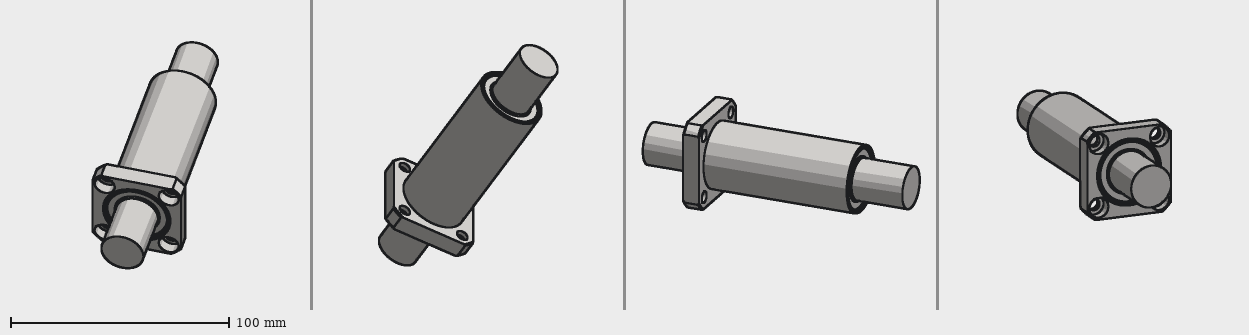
import cadquery as cq
import math

SHAFT_LENGTH = 130.0
SHAFT_DIAMETER = 20.0

SLEEVE_LENGTH = 80.0
SLEEVE_DIAMETER = 32.0
SLEEVE_CHAMFER = 0.3

FLANGE_WIDTH = 42.0
FLANGE_DISC_DIAMETER = 54.0
FLANGE_THICKNESS = 8.0
FLANGE_CHAMFER = 0.5

BOLT_CIRCLE_DIAMETER = 43.0
HOLE_SPACING = BOLT_CIRCLE_DIAMETER / math.sqrt(2)
SCREW_HOLE_DIAMETER = 5.5
COUNTERBORE_DIAMETER = 9.5
COUNTERBORE_DEPTH = 5.5

SEAL_DIAMETER = 28.5
SEAL_SETBACK = 1.0
MOUTH_CHAMFER = 0.5
LIP_DIAMETER = 21.5
LIP_HEIGHT = (LIP_DIAMETER - SHAFT_DIAMETER) / 2

FRONT = -SLEEVE_LENGTH / 2


def section_at(y):
    """Workplane across the shaft axis at the given Y."""
    return cq.Workplane("XZ", origin=(0, y, 0))


def cylinder(diameter, start, length):
    """Cylinder along the shaft axis from start, growing towards +Y."""
    return section_at(start).circle(diameter / 2).extrude(-length)


def make_sleeve():
    sleeve = cylinder(SLEEVE_DIAMETER, FRONT, SLEEVE_LENGTH)
    return sleeve.faces("<Y or >Y").edges().chamfer(SLEEVE_CHAMFER)


def make_flange():
    """Flange plate, bored for the sleeve and drilled for the screws."""
    disc = cylinder(FLANGE_DISC_DIAMETER, FRONT, FLANGE_THICKNESS)
    disc = disc.faces("<Y or >Y").edges().chamfer(FLANGE_CHAMFER)
    square = section_at(FRONT).rect(FLANGE_WIDTH, FLANGE_WIDTH).extrude(-FLANGE_THICKNESS)
    drilled = (
        disc.intersect(square)
        .faces("<Y")
        .workplane(origin=(0, FRONT, 0))
        .rect(HOLE_SPACING, HOLE_SPACING, forConstruction=True)
        .vertices()
        .cboreHole(SCREW_HOLE_DIAMETER, COUNTERBORE_DIAMETER, COUNTERBORE_DEPTH)
    )
    return drilled.cut(cylinder(SLEEVE_DIAMETER, FRONT, FLANGE_THICKNESS))


def make_end_recess():
    """Material removed from the -Y sleeve end: chamfered seal bore, less the seal lip."""
    bore = cylinder(SEAL_DIAMETER, FRONT, SEAL_SETBACK)
    mouth_radius = SEAL_DIAMETER / 2 + MOUTH_CHAMFER
    mouth = section_at(FRONT).circle(mouth_radius).extrude(-MOUTH_CHAMFER, taper=45)
    lip = section_at(FRONT + SEAL_SETBACK).circle(LIP_DIAMETER / 2).extrude(LIP_HEIGHT, taper=45)
    return bore.union(mouth).cut(lip)


front_recess = make_end_recess()
back_recess = front_recess.mirror("XZ")
shaft = cylinder(SHAFT_DIAMETER, -SHAFT_LENGTH / 2, SHAFT_LENGTH)
bushing = make_sleeve().union(make_flange()).cut(front_recess).cut(back_recess)
result = bushing.union(shaft)